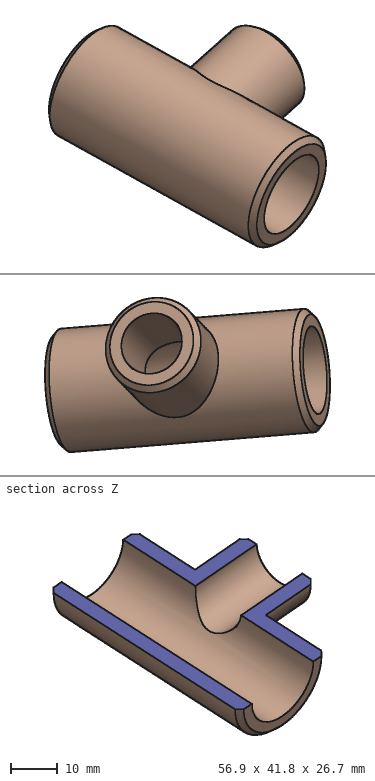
import cadquery as cq

run_length = 56.9
run_diameter = 26.7
branch_reach = run_length / 2
branch_diameter = 21.3
wall = 3.85
bevel_size = 1.3


def run_cylinder(diameter):
    """Cylinder along X, centred on the origin."""
    return cq.Workplane("YZ").circle(diameter / 2).extrude(run_length / 2, both=True)


def branch_cylinder(diameter):
    """Cylinder from the run axis to the branch end face."""
    return cq.Workplane("XZ").circle(diameter / 2).extrude(-branch_reach)


def bevel(pipe, end_faces):
    """Bevel the outer rims of the selected end faces."""
    return pipe.faces(end_faces).edges().chamfer(bevel_size)


run = bevel(run_cylinder(run_diameter), "|X")
branch = bevel(branch_cylinder(branch_diameter), ">Y")

run_bore = run_cylinder(run_diameter - 2 * wall)
branch_bore = branch_cylinder(branch_diameter - 2 * wall)

result = run.union(branch).cut(run_bore).cut(branch_bore)